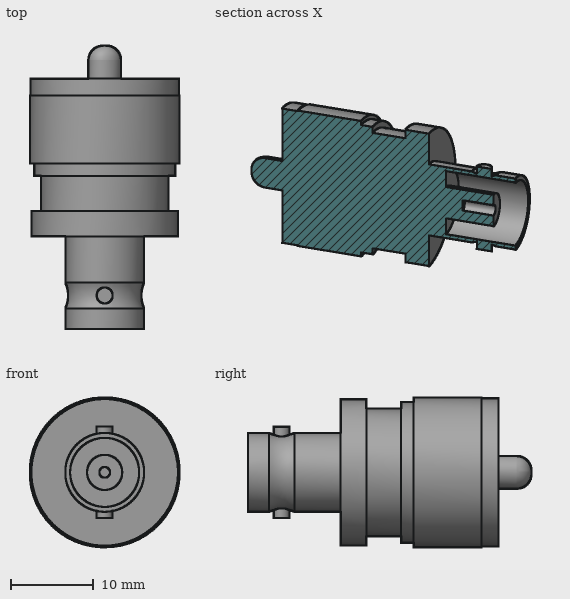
import cadquery as cq

SOCKET_END = 0.0
RIM_END = 2.54
BARREL_START = 5.64
FLANGE_START = 11.23
FLANGE_END = 14.33
RIDGE_START = 18.55
SLEEVE_START = 20.05
COLLAR_START = 28.3
COLLAR_END = 30.34
TIP_END = 34.34

BARREL_RADIUS = 4.78
WAIST_RADIUS = 4.45
FLANGE_RADIUS = 8.88
NECK_RADIUS = 7.75
RIDGE_RADIUS = 8.55
SLEEVE_RADIUS = 9.08
COLLAR_RADIUS = 9.0
TIP_RADIUS = 2.0
TIP_ROUNDING = 1.8

BORE_RADIUS = 4.18
BORE_DEPTH = 9.0
INSULATOR_RADIUS = 2.13
INSULATOR_RECESS = 2.85
CONTACT_HOLE_RADIUS = 0.65
CONTACT_HOLE_DEPTH = 4.0

STUD_RADIUS = 0.97
STUD_TIP_Z = 5.53
WAIST_CENTRE = (RIM_END + BARREL_START) / 2


def cylinder(radius, start, end):
    """Solid cylinder about the Y axis between two axial stations."""
    return cq.Workplane("XZ", origin=(0, start, 0)).circle(radius).extrude(start - end)


def make_body():
    """Turned outer body, with a concave waist behind the rim and a rounded tip."""
    flat_radius = TIP_RADIUS - TIP_ROUNDING
    dome_start = TIP_END - TIP_ROUNDING
    profile = (
        cq.Workplane("XY")
        .moveTo(0, SOCKET_END)
        .lineTo(BARREL_RADIUS, SOCKET_END)
        .lineTo(BARREL_RADIUS, RIM_END)
        .threePointArc((WAIST_RADIUS, WAIST_CENTRE), (BARREL_RADIUS, BARREL_START))
        .lineTo(BARREL_RADIUS, FLANGE_START)
        .lineTo(FLANGE_RADIUS, FLANGE_START)
        .lineTo(FLANGE_RADIUS, FLANGE_END)
        .lineTo(NECK_RADIUS, FLANGE_END)
        .lineTo(NECK_RADIUS, RIDGE_START)
        .lineTo(RIDGE_RADIUS, RIDGE_START)
        .lineTo(RIDGE_RADIUS, SLEEVE_START)
        .lineTo(SLEEVE_RADIUS, SLEEVE_START)
        .lineTo(SLEEVE_RADIUS, COLLAR_START)
        .lineTo(COLLAR_RADIUS, COLLAR_START)
        .lineTo(COLLAR_RADIUS, COLLAR_END)
        .lineTo(TIP_RADIUS, COLLAR_END)
        .lineTo(TIP_RADIUS, dome_start)
        .tangentArcPoint((flat_radius, TIP_END), relative=False)
        .lineTo(0, TIP_END)
        .close()
    )
    return profile.revolve(360, (0, 0, 0), (0, 1, 0))


def make_studs():
    """Pair of round studs on a common axis along Z."""
    return (
        cq.Workplane("XY", origin=(0, WAIST_CENTRE, 0))
        .circle(STUD_RADIUS)
        .extrude(STUD_TIP_Z, both=True)
    )


def make_insulator():
    """Post standing on the bore floor, with a blind contact hole in its face."""
    hole_end = INSULATOR_RECESS + CONTACT_HOLE_DEPTH
    post = cylinder(INSULATOR_RADIUS, INSULATOR_RECESS, BORE_DEPTH)
    return post.cut(cylinder(CONTACT_HOLE_RADIUS, INSULATOR_RECESS, hole_end))


bore = cylinder(BORE_RADIUS, SOCKET_END, BORE_DEPTH)
result = make_body().union(make_studs()).cut(bore).union(make_insulator())